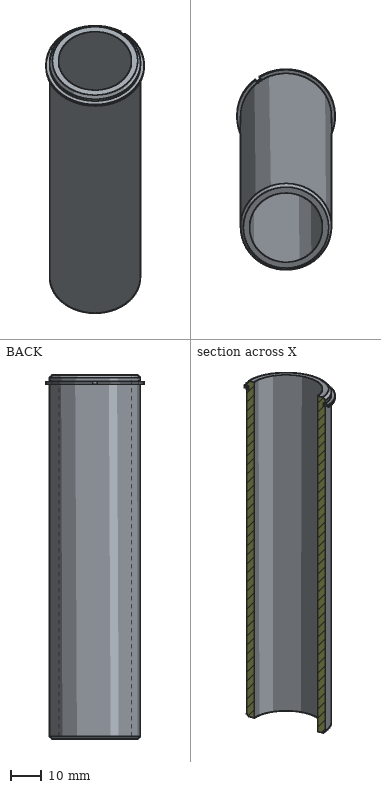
import cadquery as cq

LENGTH = 120.0
TUBE_DIAMETER = 30.0
BORE_DIAMETER = 24.0
CHAMFER = 1.0

RING_DIAMETER = 32.4
RING_THICKNESS = 0.8
GROOVE_TOP_OFFSET = 2.0
GROOVE_WIDTH = 1.1
RING_GAP = 1.5
GROOVE_DEPTH = 0.7

GROOVE_DIAMETER = TUBE_DIAMETER - 2 * GROOVE_DEPTH
RING_BOTTOM = LENGTH - GROOVE_TOP_OFFSET - GROOVE_WIDTH


def annulus(outer_diameter, inner_diameter, height, bottom):
    """Flat-ended hollow cylinder around the Z axis."""
    return (
        cq.Workplane("XY", origin=(0, 0, bottom))
        .circle(outer_diameter / 2)
        .circle(inner_diameter / 2)
        .extrude(height)
    )


def make_tube():
    """Tube with chamfered outer rims and the ring groove."""
    body = cq.Workplane("XY").circle(TUBE_DIAMETER / 2).extrude(LENGTH)
    body = body.faces("<Z or >Z").edges().chamfer(CHAMFER)
    bore = cq.Workplane("XY").circle(BORE_DIAMETER / 2).extrude(LENGTH)
    groove = annulus(RING_DIAMETER, GROOVE_DIAMETER, GROOVE_WIDTH, RING_BOTTOM)
    return body.cut(bore).cut(groove)


def make_retaining_ring():
    """Ring resting on the lower wall of the groove, split on the +Y side."""
    ring = annulus(RING_DIAMETER, GROOVE_DIAMETER, RING_THICKNESS, RING_BOTTOM)
    gap = (
        cq.Workplane("XY", origin=(0, 0, RING_BOTTOM))
        .rect(RING_GAP, RING_DIAMETER)
        .extrude(RING_THICKNESS)
        .translate((0, RING_DIAMETER / 2, 0))
    )
    return ring.cut(gap)


tube = make_tube()
retaining_ring = make_retaining_ring()

result = cq.Compound.makeCompound([tube.val(), retaining_ring.val()])